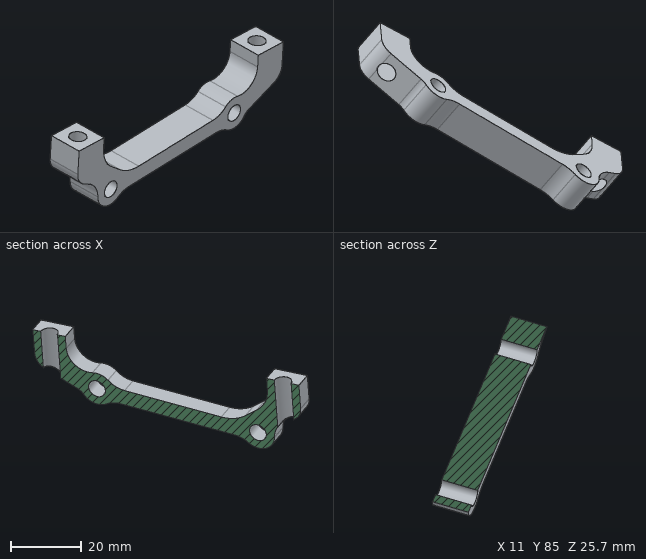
import cadquery as cq
import math


thickness = 11.0

mount_spacing = 51.0
mount_hole_diameter = 5.2
boss_radius = 5.35

bar_top = 2.0
bar_bottom = -3.1

tilt = 4.0
pad_plane_y = 3.65
pad_plane_z = 17.35
bolt_spacing = 74.2
bolt_hole_diameter = 5.2
pad_length = 10.45

low_arm_angle = 20.5
low_arm_height = -4.2
high_arm_angle = 150.0
high_arm_height = 1.3
ramp_angle = 140.0
ramp_height = 8.1

scoop_radius = 6.6
heel_radius = 5.0
pad_ramp_radius = 9.2
ramp_bar_radius = 12.0
bar_blend_radius = 8.0
low_arm_blend_radius = 4.0
high_arm_blend_radius = 7.1

low_boss = (mount_spacing / 2, 0)
high_boss = (-mount_spacing / 2, 0)
pad_normal_angle = 90 - tilt


def direction(angle):
    return math.cos(math.radians(angle)), math.sin(math.radians(angle))


def move(point, angle, distance):
    dy, dz = direction(angle)
    return point[0] + distance * dy, point[1] + distance * dz


def meet(line_a, line_b):
    """Point where two lines cross."""
    (ya, za), angle_a = line_a
    (yb, zb), angle_b = line_b
    dy, dz = direction(angle_b)
    along = (yb - ya) * dz - (zb - za) * dy
    return move(line_a[0], angle_a, along / math.sin(math.radians(angle_b - angle_a)))


def leave_circle(line, center, radius):
    """Point where a line, followed forward, leaves a circle."""
    (y, z), angle = line
    dy, dz = direction(angle)
    to_foot = (center[0] - y) * dy + (center[1] - z) * dz
    foot = move(line[0], angle, to_foot)
    half_chord = math.sqrt(radius**2 - math.dist(foot, center) ** 2)
    return move(foot, angle, half_chord)


def pad_point(distance):
    """Point on the pad plane, measured from its middle toward +Y."""
    return move((pad_plane_y, pad_plane_z), -tilt, distance)


bolt_offset = bolt_spacing / 2
outer_offset = bolt_offset + pad_length / 2
inner_offset = bolt_offset - pad_length / 2
low_outer = pad_point(outer_offset)
low_inner = pad_point(inner_offset)
high_inner = pad_point(-inner_offset)
high_outer = pad_point(-outer_offset)

low_arm = ((low_boss[0], low_arm_height), low_arm_angle)
high_arm = ((high_boss[0], high_arm_height), high_arm_angle)
ramp = ((high_boss[0], ramp_height), ramp_angle)
low_heel = meet(low_arm, (low_outer, pad_normal_angle))
high_heel = meet(high_arm, (high_outer, pad_normal_angle))
pad_ramp_corner = meet(ramp, (high_inner, pad_normal_angle))
ramp_bar_corner = meet(ramp, ((0, bar_top), 0))

scoop_path = (pad_point(inner_offset - scoop_radius), pad_normal_angle)
scoop_center = leave_circle(scoop_path, low_boss, boss_radius + scoop_radius)
scoop_on_pad = move(scoop_center, -tilt, scoop_radius)
boss_to_scoop = math.degrees(math.atan2(scoop_center[1], scoop_center[0] - low_boss[0]))
scoop_on_boss = move(low_boss, boss_to_scoop, boss_radius)


def cylinder(center, radius):
    """Cylinder along X through the full thickness."""
    return cq.Workplane("YZ").center(*center).circle(radius).extrude(thickness / 2, both=True)


def round_corner(solid, corner, radius):
    """Fillet the X-direction edge at a profile corner."""
    edge = cq.selectors.NearestToPointSelector((0, *corner))
    return solid.edges("|X").edges(edge).fillet(radius)


sharp_outline = [
    low_outer,
    low_heel,
    low_arm[0],
    (low_boss[0], bar_bottom),
    (high_boss[0], bar_bottom),
    high_arm[0],
    high_heel,
    high_outer,
    high_inner,
    pad_ramp_corner,
    ramp_bar_corner,
    (low_boss[0], bar_top),
    scoop_on_boss,
    scoop_on_pad,
    low_inner,
]
body = cq.Workplane("YZ").polyline(sharp_outline).close().extrude(thickness / 2, both=True)
for boss in (low_boss, high_boss):
    body = body.union(cylinder(boss, boss_radius))
body = body.cut(cylinder(scoop_center, scoop_radius))

bar_top_toward_high = ((low_boss[0], bar_top), 180)
bar_bottom_toward_high = ((low_boss[0], bar_bottom), 180)
bar_bottom_toward_low = ((high_boss[0], bar_bottom), 0)
rounded_corners = [
    (low_heel, heel_radius),
    (high_heel, heel_radius),
    (pad_ramp_corner, pad_ramp_radius),
    (ramp_bar_corner, ramp_bar_radius),
    (leave_circle(bar_top_toward_high, low_boss, boss_radius), bar_blend_radius),
    (leave_circle(bar_bottom_toward_high, low_boss, boss_radius), bar_blend_radius),
    (leave_circle(bar_bottom_toward_low, high_boss, boss_radius), bar_blend_radius),
    (leave_circle(low_arm, low_boss, boss_radius), low_arm_blend_radius),
    (leave_circle(high_arm, high_boss, boss_radius), high_arm_blend_radius),
]
for corner, radius in rounded_corners:
    body = round_corner(body, corner, radius)

for boss in (low_boss, high_boss):
    body = body.cut(cylinder(boss, mount_hole_diameter / 2))

drill_direction = cq.Vector(0, *direction(pad_normal_angle)) * -1
drill_depth = 2 * pad_plane_z
for offset in (-bolt_offset, bolt_offset):
    start = cq.Vector(0, *pad_point(offset))
    drill = cq.Solid.makeCylinder(bolt_hole_diameter / 2, drill_depth, start, drill_direction)
    body = body.cut(cq.Workplane(obj=drill))

result = body